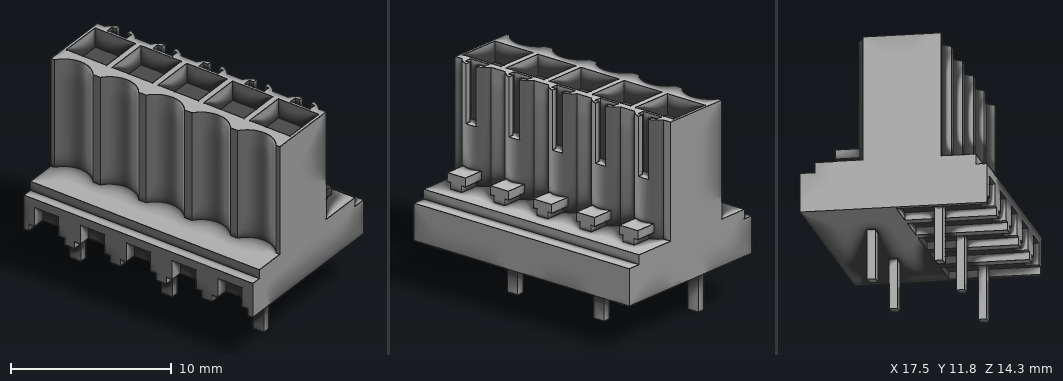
import cadquery as cq


pole_count = 5
pitch = 3.5
length = pole_count * pitch
pole_xs = [(i - (pole_count - 1) / 2) * pitch for i in range(pole_count)]

base_depth = 11.85
flange_height = 2.5
base_height = 3.15
front_step = 0.7
back_step = 0.95
tower_front = 2.89
tower_back = 7.85
housing_height = 11.1

flute_width = 2.94
flute_sagitta = 0.75

bulge_width = 2.35
bulge_sagitta = 0.58

well_size = 3.08
well_front = 4.25
well_depth = 1.42

slot_depth = 3.99
slot_width = 1.47
slot_inner = 7.52
slot_lip = 8.02
slot_mouth = 0.82

key_back = 9.82
key_plate_bottom = 3.59
key_top = 4.18
key_stem_width = 0.9

notch_width = 1.84
notch_height = 1.89
notch_depth = 0.88
recess_width = 2.73
recess_height = 0.49

pin_width = 0.84
pin_thickness = 0.52
pin_reach = 3.2
front_row = 3.32
back_row = 8.28
pin_rows = [front_row if i % 2 == 0 else back_row for i in range(pole_count)]
recess_depth = (front_row + back_row) / 2


def block(x, width, y_start, y_end, z_start, z_end):
    """Box centred on x, between the given Y and Z limits."""
    return (
        cq.Workplane("XY")
        .box(width, y_end - y_start, z_end - z_start, centered=(True, False, False))
        .translate((x, y_start, z_start))
    )


def arc_prism(x, width, y, sagitta, z_start, z_end):
    """Circular segment with its chord on y, rising by sagitta toward +Y."""
    return (
        cq.Workplane("XY", origin=(x, y, z_start))
        .moveTo(-width / 2, 0)
        .threePointArc((0, sagitta), (width / 2, 0))
        .close()
        .extrude(z_end - z_start)
    )


def make_shell():
    """Stepped base with the tower standing on it."""
    return (
        cq.Workplane("YZ", origin=(-length / 2, 0, 0))
        .polyline([
            (0, 0),
            (base_depth, 0),
            (base_depth, flange_height),
            (base_depth - back_step, flange_height),
            (base_depth - back_step, base_height),
            (tower_back, base_height),
            (tower_back, housing_height),
            (tower_front, housing_height),
            (tower_front, base_height),
            (front_step, base_height),
            (front_step, flange_height),
            (0, flange_height),
        ])
        .close()
        .extrude(length)
    )


def make_key(x):
    """T-shaped key, running forward into the bulge."""
    plate = block(x, slot_width, tower_back, key_back, key_plate_bottom, key_top)
    stem = block(x, key_stem_width, tower_back, key_back, base_height, key_plate_bottom)
    return plate.union(stem)


def make_slot(x):
    """T-slot, open at the top and through the crown of the bulge."""
    floor = housing_height - slot_depth
    crown = tower_back + bulge_sagitta
    pocket = block(x, slot_width, slot_inner, slot_lip, floor, housing_height)
    mouth = block(x, slot_mouth, slot_lip, crown, floor, housing_height)
    return pocket.union(mouth)


def make_well(x):
    """Square blind well in the top of the tower."""
    well_back = well_front + well_size
    return block(x, well_size, well_front, well_back, housing_height - well_depth, housing_height)


def make_undercut(x):
    """Tall notch in the front face, above a shallow recess in the underside."""
    notch = block(x, notch_width, 0, notch_depth, 0, notch_height)
    recess = block(x, recess_width, 0, recess_depth, 0, recess_height)
    return notch.union(recess)


def make_pin(x, row_y):
    """Straight pin whose top lies level with the ceiling of the recesses."""
    return block(
        x, pin_width,
        row_y - pin_thickness / 2, row_y + pin_thickness / 2,
        -pin_reach, recess_height,
    )


def make_housing(pins):
    """Housing with all pole features and a socket for each pin that enters it."""
    body = make_shell()
    for x in pole_xs:
        body = body.union(
            arc_prism(x, bulge_width, tower_back, bulge_sagitta, base_height, housing_height)
        )
        body = body.union(make_key(x))
        body = body.cut(
            arc_prism(x, flute_width, tower_front, flute_sagitta, base_height, housing_height)
        )
        body = body.cut(make_slot(x))
        body = body.cut(make_well(x))
        body = body.cut(make_undercut(x))
    for pin in pins:
        body = body.cut(pin)
    return body


pins = [make_pin(x, row_y) for x, row_y in zip(pole_xs, pin_rows)]
housing = make_housing(pins)

result = cq.Compound.makeCompound([housing.solids().val(), *[pin.val() for pin in pins]])